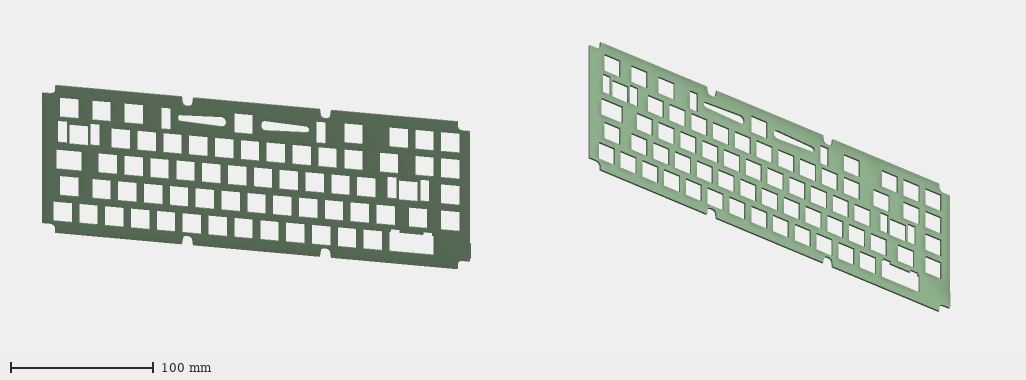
import cadquery as cq
import math

length = 315.8
height = 107.7
thickness = 1.5
bump_depth = 0.5
bump_bottom = -45.5
bump_top = -34.5
main_length = length - bump_depth

corner_length = 9.8
corner_height = 6.3
corner_radius = 3.8
notch_spacing = 101.7
notch_mouth = 8.5
notch_floor = 6.5
notch_depth = 6.3
notch_radius = 2.8

grid_span = 285.8
grid_steps = 15
pitch = grid_span / grid_steps
key_web = 5.0
key_size = pitch - key_web

stab_width = 7.0
stab_height = 15.5
stab_shift = 1.3
short_stab_reach = 12.0
long_stab_reach = 3 * pitch

slot_length = 35.7
slot_reach = 30.5
slot_inner_radius = 3.5
slot_outer_radius = 2.2


def run(first, count):
    """Key positions one pitch apart."""
    return [first + step for step in range(count)]


key_rows = {
    2: [-7.25, -6, -4.75, -0.5, 3.75] + run(5.5, 3),
    1: [-6.875] + run(-5.25, 10) + [5.125, 6.5, 7.5],
    0: [-7.375, -7.125] + run(-5.75, 11) + [5.875, 7.5],
    -1: [-7.25] + run(-6, 12) + [6.25, 7.5],
    -2: run(-7.5, 13) + [5.5, 6, 6.5],
}
middle_key = (-0.5, 2)
short_stab_keys = [(-6.875, 1), (5.875, 0), (6, -2)]


def box(x, z, size_x, size_z):
    """Block through the full thickness, centred on (x, z)."""
    return cq.Workplane("XY").box(size_x, thickness, size_z).translate((x, 0, z))


def notch_cutter(x, side_z):
    """Edge notch with leaning sides and rounded bottom corners."""
    edge_z = side_z * height / 2
    floor_z = edge_z - side_z * notch_depth
    outline = [
        (x - notch_mouth / 2, edge_z),
        (x - notch_floor / 2, floor_z),
        (x + notch_floor / 2, floor_z),
        (x + notch_mouth / 2, edge_z),
    ]
    block = cq.Workplane("XZ").polyline(outline).close().extrude(thickness / 2, both=True)
    floor_face = "<Z" if side_z > 0 else ">Z"
    return block.faces(floor_face).edges("|Y").fillet(notch_radius)


def plate():
    body = box(-bump_depth / 2, 0, main_length, height)
    for side_x in (-1, 1):
        for side_z in (-1, 1):
            relief = box(
                side_x * length / 2,
                side_z * height / 2,
                2 * corner_length,
                2 * corner_height,
            )
            body = body.cut(relief.edges("|Y").fillet(corner_radius))
            notch_x = side_x * notch_spacing / 2
            body = body.cut(notch_cutter(notch_x, side_z))
    bump = box(
        length / 2 - bump_depth,
        (bump_bottom + bump_top) / 2,
        2 * bump_depth,
        bump_top - bump_bottom,
    )
    return body.union(bump)


def stabilizers(key, reach, shift):
    column, row = key
    return [
        box(column * pitch + side * reach, row * pitch + shift, stab_width, stab_height)
        for side in (-1, 1)
    ]


def slot(side):
    """Round-ended slot that narrows away from the middle key; side is -1 or 1."""
    column, row = middle_key
    reach = slot_length / 2
    inner_x = -side * (reach - slot_inner_radius)
    outer_x = side * (reach - slot_outer_radius)
    taper = math.asin((slot_inner_radius - slot_outer_radius) / abs(outer_x - inner_x))

    def tangent_point(centre_x, radius, side_z):
        return (
            centre_x + side * radius * math.sin(taper),
            side_z * radius * math.cos(taper),
        )

    return (
        cq.Workplane("XZ")
        .moveTo(*tangent_point(inner_x, slot_inner_radius, 1))
        .lineTo(*tangent_point(outer_x, slot_outer_radius, 1))
        .threePointArc((side * reach, 0), tangent_point(outer_x, slot_outer_radius, -1))
        .lineTo(*tangent_point(inner_x, slot_inner_radius, -1))
        .threePointArc((-side * reach, 0), tangent_point(inner_x, slot_inner_radius, 1))
        .close()
        .extrude(thickness / 2, both=True)
        .translate((column * pitch + side * slot_reach, 0, row * pitch))
    )


cutters = [
    box(column * pitch, row * pitch, key_size, key_size)
    for row, columns in key_rows.items()
    for column in columns
]
for key in short_stab_keys:
    cutters += stabilizers(key, short_stab_reach, stab_shift)
cutters += stabilizers(middle_key, long_stab_reach, -stab_shift)
cutters += [slot(-1), slot(1)]

result = plate()
for cutter in cutters:
    result = result.cut(cutter)